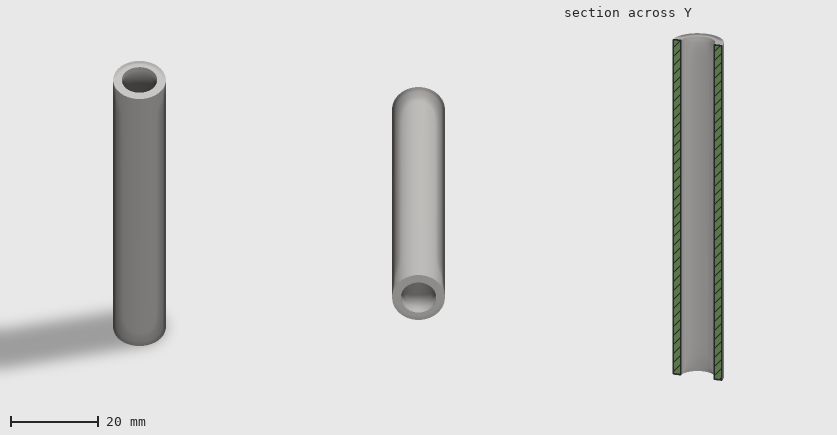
import cadquery as cq

length = 81.2
outer_diameter = 12.0
bore_diameter = 8.0

result = (
    cq.Workplane("XY")
    .circle(outer_diameter / 2)
    .circle(bore_diameter / 2)
    .extrude(length)
)